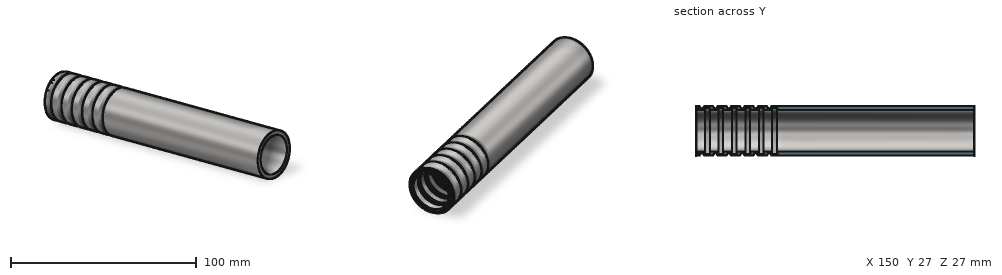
import cadquery as cq
import math

length = 150.0
outer_diameter = 27.0
bore_diameter = 22.0
end_x = -length / 2

groove_count = 6
groove_pitch = 7.25

first_outer_groove = 3.15
outer_groove_depth = 1.7
wall_angle = math.radians(55)
lip_radius = 0.4
floor_radius = 0.4

first_inner_groove_start = 4.8
inner_groove_width = 2.6
inner_floor_diameter = 24.5

slot_inner_diameter = 24.87
slot_outer_diameter = 25.57
slot_depth = 1.0


def sleeve(start_x, sleeve_length, outside, inside):
    """Straight tube along X."""
    return (
        cq.Workplane("YZ")
        .workplane(offset=start_x)
        .circle(outside / 2)
        .circle(inside / 2)
        .extrude(sleeve_length)
    )


def arc_offset(radius, angle):
    """Axial and radial travel of an arc that starts parallel to X and turns through the angle."""
    return radius * math.sin(angle), radius * (1 - math.cos(angle))


def outer_groove(center_x):
    """Ring around X whose section is a V with rounded lips and floor."""
    surface = outer_diameter / 2
    bottom = surface - outer_groove_depth
    floor_run, floor_rise = arc_offset(floor_radius, wall_angle)
    lip_run, lip_drop = arc_offset(lip_radius, wall_angle)
    lip_mid_run, lip_mid_drop = arc_offset(lip_radius, wall_angle / 2)
    wall_run = (outer_groove_depth - floor_rise - lip_drop) / math.tan(wall_angle)
    half_wall_top = floor_run + wall_run
    half_mouth = half_wall_top + lip_run
    half_lip_mid = half_mouth - lip_mid_run

    def point(offset_x, radius):
        return center_x + offset_x, radius

    lip_mid_radius = surface - lip_mid_drop
    wall_top_radius = surface - lip_drop
    wall_foot_radius = bottom + floor_rise
    return (
        cq.Workplane("XY")
        .moveTo(*point(-half_mouth, surface))
        .threePointArc(point(-half_lip_mid, lip_mid_radius), point(-half_wall_top, wall_top_radius))
        .lineTo(*point(-floor_run, wall_foot_radius))
        .threePointArc(point(0, bottom), point(floor_run, wall_foot_radius))
        .lineTo(*point(half_wall_top, wall_top_radius))
        .threePointArc(point(half_lip_mid, lip_mid_radius), point(half_mouth, surface))
        .close()
        .revolve(360, (0, 0), (1, 0))
    )


def inner_groove(start_x):
    """Rectangular-section ring around X, starting at the bore."""
    return sleeve(start_x, inner_groove_width, inner_floor_diameter, bore_diameter)


def end_slot():
    """Narrow ring slot cut into the -X end face."""
    return sleeve(end_x, slot_depth, slot_outer_diameter, slot_inner_diameter)


tube = sleeve(end_x, length, outer_diameter, bore_diameter)
for index in range(groove_count):
    groove_origin = end_x + index * groove_pitch
    tube = tube.cut(outer_groove(groove_origin + first_outer_groove))
    tube = tube.cut(inner_groove(groove_origin + first_inner_groove_start))

result = tube.cut(end_slot())